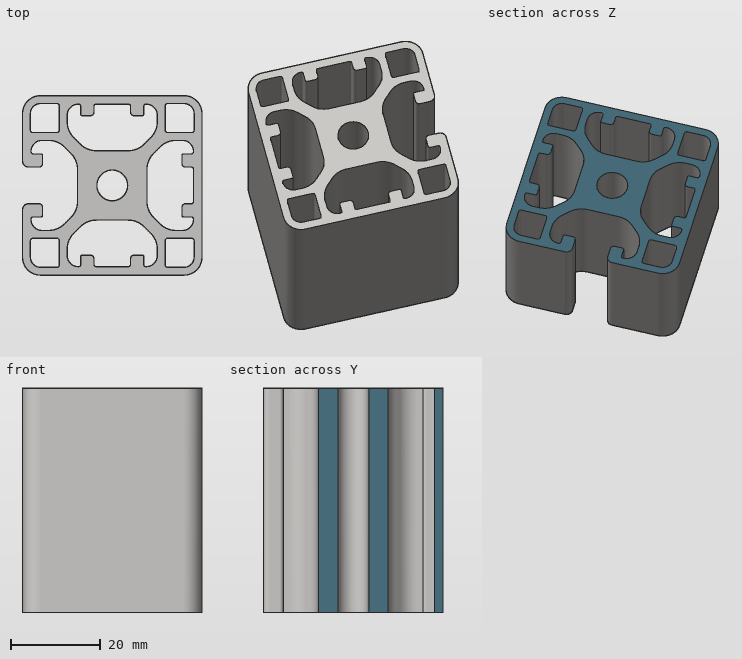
import cadquery as cq

side = 40.0
length = 50.0
corner_radius = 4.0
bore_diameter = 6.8

cell_wall = 1.8
cell_size = 6.4
cell_outer_radius = 2.2
cell_inner_radius = 0.5

face_wall = 1.95
slot_depth = 12.25
slot_width = 20.0
slot_shoulder_radius = 2.4
slot_bevel = 4.35
slot_bevel_radius = 5.0

mouth_width = 8.1
hook_width = 3.0
hook_depth = 4.5
hook_root_radius = 0.4
hook_tip_inner_radius = 0.8
hook_tip_outer_radius = 0.4
lip_radius = 1.4

half_side = side / 2
ceiling = half_side - face_wall
slot_floor = half_side - slot_depth
hook_tip = half_side - hook_depth
half_slot = slot_width / 2
half_mouth = mouth_width / 2
hook_back = half_mouth + hook_width


def prism(points):
    """Extrude a closed outline over the full length."""
    return cq.Workplane("XY").polyline(points).close().extrude(length)


def fillet_edges_at(body, points, radius):
    """Round the upright edges that pass through the given points and their mirror images across X = 0."""
    edges = []
    for x, y in points:
        for sign in (-1, 1):
            nearest = cq.selectors.NearestToPointSelector((sign * x, y, length / 2))
            edges.append(body.edges("|Z").edges(nearest).val())
    return body.newObject(edges).fillet(radius)


def slot_chamber():
    """Closed slot chamber on the +Y side, with a hook hanging on each side of the mouth."""
    half_outline = [
        (half_mouth, ceiling),
        (half_mouth, hook_tip),
        (hook_back, hook_tip),
        (hook_back, ceiling),
        (half_slot, ceiling),
        (half_slot, slot_floor + slot_bevel),
        (half_slot - slot_bevel, slot_floor),
    ]
    mirrored = [(-x, y) for x, y in reversed(half_outline)]
    chamber = prism(half_outline + mirrored)
    mouth_root, inner_tip, outer_tip, hook_root, shoulder, bevel_top, bevel_bottom = half_outline
    chamber = fillet_edges_at(chamber, [bevel_top, bevel_bottom], slot_bevel_radius)
    chamber = fillet_edges_at(chamber, [shoulder], slot_shoulder_radius)
    chamber = fillet_edges_at(chamber, [mouth_root, hook_root], hook_root_radius)
    chamber = fillet_edges_at(chamber, [inner_tip], hook_tip_inner_radius)
    return fillet_edges_at(chamber, [outer_tip], hook_tip_outer_radius)


def open_mouth():
    """Opening through the +Y wall, flared by the rounded outer lips."""
    lip_end = half_side - lip_radius
    return (
        cq.Workplane("XY")
        .moveTo(-half_mouth - lip_radius, half_side)
        .radiusArc((-half_mouth, lip_end), lip_radius)
        .lineTo(-half_mouth, ceiling - hook_root_radius)
        .lineTo(half_mouth, ceiling - hook_root_radius)
        .lineTo(half_mouth, lip_end)
        .radiusArc((half_mouth + lip_radius, half_side), lip_radius)
        .close()
        .extrude(length)
    )


def corner_cell():
    """Square cell in the +X +Y corner, with a larger radius towards the outside."""
    far = half_side - cell_wall
    near = far - cell_size
    cell = prism([(near, near), (far, near), (far, far), (near, far)])
    cell = cell.edges("|Z and (not >(1,1,0))").fillet(cell_inner_radius)
    outer_edge = cq.selectors.NearestToPointSelector((far, far, length / 2))
    return cell.edges(outer_edge).fillet(cell_outer_radius)


def around_axis(body, turn):
    """Turn a body about the profile axis by a number of quarter turns."""
    return body.rotate((0, 0, 0), (0, 0, 1), 90 * turn)


profile = cq.Workplane("XY").rect(side, side).extrude(length)
profile = profile.edges("|Z").fillet(corner_radius)

chamber = slot_chamber()
cell = corner_cell()
for quarter in range(4):
    profile = profile.cut(around_axis(chamber, quarter))
    profile = profile.cut(around_axis(cell, quarter))

profile = profile.cut(around_axis(open_mouth(), 1))

bore = cq.Workplane("XY").circle(bore_diameter / 2).extrude(length)
result = profile.cut(bore)